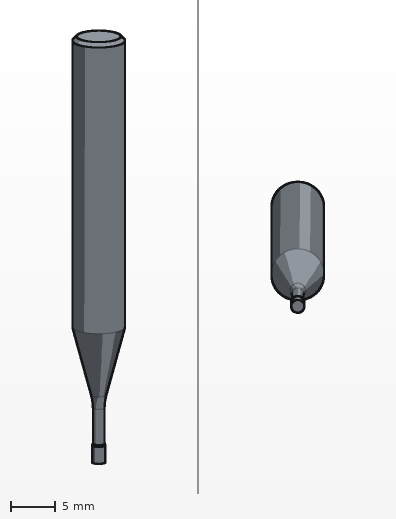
import cadquery as cq
import math

total_length = 50.0
shank_radius = 3.0
shank_chamfer = 0.5

cutter_radius = 0.75
cutter_length = 2.0

neck_diameter = 1.35
neck_radius = neck_diameter / 2
neck_step_height = 0.2
neck_top = 6.4
cone_bottom = 7.9
cone_top = 15.9

refinement_steps = 50


def neck_arc_rise(cone_angle):
    """Radial growth of the blend arc that leaves the neck tangentially and ends at cone_angle."""
    return (cone_bottom - neck_top) * math.tan(cone_angle / 2)


def tangent_cone_angle():
    """Half angle of the cone tangent to the blend arc and ending at the shank edge.

    The blend's end radius depends on the angle, so the angle is refined by repetition.
    """
    angle = math.atan((shank_radius - neck_radius) / (cone_top - cone_bottom))
    for _ in range(refinement_steps):
        radius_gain = shank_radius - neck_radius - neck_arc_rise(angle)
        angle = math.atan(radius_gain / (cone_top - cone_bottom))
    return angle


def make_holder():
    """Shank with chamfered top, tapering through a tangent blend into the thin neck."""
    cone_angle = tangent_cone_angle()
    blend_radius = (cone_bottom - neck_top) / math.sin(cone_angle)
    blend_middle = (
        neck_radius + blend_radius * (1 - math.cos(cone_angle / 2)),
        neck_top + blend_radius * math.sin(cone_angle / 2),
    )
    blend_end = (neck_radius + neck_arc_rise(cone_angle), cone_bottom)
    profile = (
        cq.Workplane("XZ")
        .moveTo(0, cutter_length)
        .lineTo(cutter_radius, cutter_length)
        .lineTo(neck_radius, cutter_length + neck_step_height)
        .lineTo(neck_radius, neck_top)
        .threePointArc(blend_middle, blend_end)
        .lineTo(shank_radius, cone_top)
        .lineTo(shank_radius, total_length - shank_chamfer)
        .lineTo(shank_radius - shank_chamfer, total_length)
        .lineTo(0, total_length)
        .close()
    )
    return profile.revolve(360, (0, 0, 0), (0, 1, 0))


def make_cutter():
    """Plain cylindrical cutting end, butted against the underside of the holder."""
    return cq.Workplane("XY").circle(cutter_radius).extrude(cutter_length)


holder = make_holder()
cutter = make_cutter()

result = cq.Compound.makeCompound([holder.val(), cutter.val()])